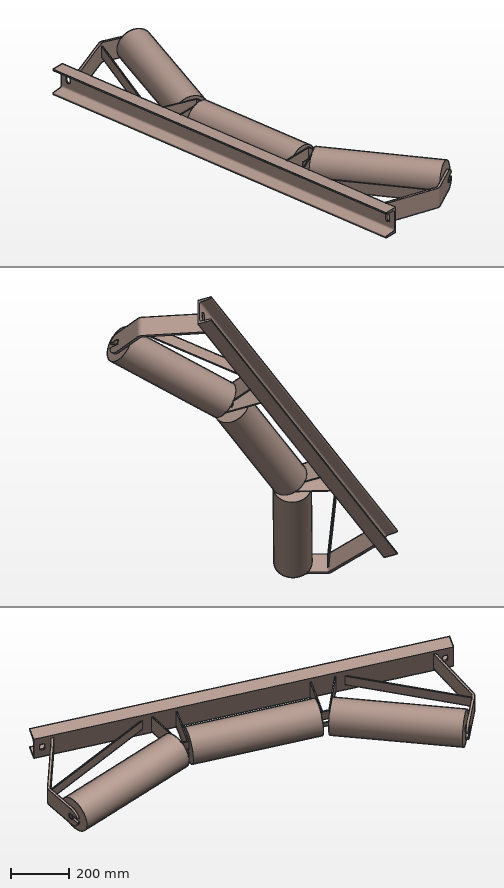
import cadquery as cq
import math

SIDES = (-1, 1)

channel_length = 1500.0
channel_height = 100.0
flange_width = 50.0
web_thickness = 6.0
flange_thickness = 8.5
flange_slope = 0.08
root_radius = 8.0
toe_radius = 3.0
bolt_slot_width = 18.0
bolt_slot_height = 32.0
bolt_slot_inset = 30.0

roller_diameter = 133.0
roller_length = 465.0
trough_angle = 25.0
tip_angle = 5.5
middle_axis_y = 166.0
middle_axis_z = -21.0
wing_offset_x = 488.0
wing_offset_y = 108.0
shaft_diameter = 21.0
shaft_flats = 18.0
inner_overhang = 10.0
outer_overhang = 17.0

bar_width = 78.0
outer_thickness = 9.0
outer_bend_x = 759.0
outer_foot_x = 683.0
outer_bend_y = 265.0
outer_upper_leg = 157.0
outer_bend_radius = 23.0
tip_round = 38.0
outer_drop = 3.0

inner_thickness = 5.0
inner_upright_x = 240.0
inner_slant_foot_x = 326.0
inner_slant_top_x = 265.0
inner_top_y = 190.0
inner_drop = 8.0

strut_width = 44.0
strut_thickness = 5.0
strut_foot_x = 365.0
strut_top_x = 755.0
strut_top_y = 265.0

foot_extra = 15.0
slot_reach = 122.0


def make_channel():
    half = channel_height / 2
    run = flange_width - web_thickness
    root_thickness = flange_thickness + flange_slope * run / 2
    toe_thickness = flange_thickness - flange_slope * run / 2
    web_inner_y = flange_width - web_thickness
    profile = [
        (0, half), (flange_width, half), (flange_width, -half), (0, -half),
        (0, -half + toe_thickness), (web_inner_y, -half + root_thickness),
        (web_inner_y, half - root_thickness), (0, half - toe_thickness),
    ]
    channel = (
        cq.Workplane("YZ").workplane(offset=-channel_length / 2)
        .polyline(profile).close().extrude(channel_length)
    )
    for z in (half - root_thickness, -half + root_thickness):
        root_edge = cq.selectors.NearestToPointSelector((0, web_inner_y, z))
        channel = channel.edges(root_edge).fillet(root_radius)
    for z in (half - toe_thickness, -half + toe_thickness):
        toe_edge = cq.selectors.NearestToPointSelector((0, 0, z))
        channel = channel.edges(toe_edge).fillet(toe_radius)
    slot_x = channel_length / 2 - bolt_slot_inset
    slots = (
        cq.Workplane("XZ").pushPoints([(side * slot_x, 0) for side in SIDES])
        .slot2D(bolt_slot_height, bolt_slot_width, 90)
        .extrude(-flange_width)
    )
    return channel.cut(slots)


def roller_location(offset_x, offset_y, angle):
    """Place a roller built along X on the tipped plane."""
    tip = math.radians(tip_angle)
    tipped_plane = cq.Plane(
        origin=(0, middle_axis_y, middle_axis_z),
        xDir=(1, 0, 0),
        normal=(0, -math.sin(tip), math.cos(tip)),
    )
    in_plane = cq.Location(cq.Vector(offset_x, offset_y, 0), cq.Vector(0, 0, 1), angle)
    return cq.Location(tipped_plane) * in_plane


def wing_location(side):
    return roller_location(side * wing_offset_x, wing_offset_y, side * trough_angle)


def shaft_blank(length_left, length_right):
    """Round shaft along X with two flats facing +Z and -Z."""
    length = length_left + length_right
    flats = cq.Workplane().box(length, shaft_diameter, shaft_flats)
    round_bar = (
        cq.Workplane("YZ").workplane(offset=-length / 2)
        .circle(shaft_diameter / 2).extrude(length)
    )
    return round_bar.intersect(flats).translate(((length_right - length_left) / 2, 0, 0))


def make_roller(overhang_left, overhang_right, location):
    half = roller_length / 2
    left_end = cq.Plane(origin=(-half, 0, 0), xDir=(0, 0, 1), normal=(1, 0, 0))
    shell = cq.Workplane(left_end).circle(roller_diameter / 2).extrude(roller_length)
    shaft = shaft_blank(half + overhang_left, half + overhang_right)
    return cq.Workplane(shell.union(shaft).val().moved(location))


def shaft_slot(location):
    """Open slot that lets a shaft drop into the brackets at both of its ends."""
    half = roller_length / 2 + 2 * outer_overhang
    seat = shaft_blank(half, half)
    entry = cq.Workplane().box(2 * half, slot_reach, shaft_flats).translate((0, slot_reach / 2, 0))
    return cq.Workplane(seat.union(entry).val().moved(location))


def bent_strip(path, width, thickness):
    """Flat bar on edge: a mitred strip centred on the XY path, centred on Z = 0."""
    headings = [math.atan2(b[1] - a[1], b[0] - a[0]) for a, b in zip(path, path[1:])]
    left = []
    right = []
    for i, (x, y) in enumerate(path):
        before = headings[max(i - 1, 0)]
        after = headings[min(i, len(headings) - 1)]
        turn = math.remainder(after - before, 2 * math.pi)
        normal = before + turn / 2 + math.pi / 2
        reach = thickness / 2 / math.cos(turn / 2)
        dx = reach * math.cos(normal)
        dy = reach * math.sin(normal)
        left.append((x + dx, y + dy))
        right.append((x - dx, y - dy))
    outline = left + right[::-1]
    return cq.Workplane().polyline(outline).close().extrude(width).translate((0, 0, -width / 2))


def trim_to_web(strip):
    """Cut off everything below the outer face of the web."""
    below = (
        cq.Workplane().box(channel_length, flange_width, 2 * bar_width)
        .translate((0, flange_width / 2, 0))
    )
    return strip.cut(below)


def foot_point(foot, above):
    """Point on the line from above through foot, foot_extra below the web face."""
    stretch = foot_extra / (above[1] - foot[1])
    return foot[0] + (foot[0] - above[0]) * stretch, foot[1] - foot_extra


def make_outer_bracket(side):
    lean = math.radians(trough_angle)
    bend = (side * outer_bend_x, outer_bend_y)
    tip = (
        bend[0] - side * outer_upper_leg * math.sin(lean),
        bend[1] + outer_upper_leg * math.cos(lean),
    )
    foot = foot_point((side * outer_foot_x, flange_width), bend)
    strip = bent_strip([foot, bend, tip], bar_width, outer_thickness)
    for offset, radius in (
        (outer_thickness, outer_bend_radius),
        (-outer_thickness, outer_bend_radius - outer_thickness),
    ):
        bend_edge = cq.selectors.NearestToPointSelector((bend[0] + side * offset, bend[1], 0))
        strip = strip.edges(bend_edge).fillet(radius)
    for z in (-bar_width / 2, bar_width / 2):
        tip_corner = cq.selectors.NearestToPointSelector((tip[0], tip[1], z))
        strip = strip.edges(tip_corner).fillet(tip_round)
    strip = trim_to_web(strip).translate((0, 0, -outer_drop))
    return strip.cut(shaft_slot(wing_location(side)))


def make_inner_bracket(side):
    slant_top = (side * inner_slant_top_x, inner_top_y)
    slant_foot = foot_point((side * inner_slant_foot_x, flange_width), slant_top)
    upright_top = (side * inner_upright_x, inner_top_y)
    upright_foot = (side * inner_upright_x, flange_width - foot_extra)
    path = [slant_foot, slant_top, upright_top, upright_foot]
    strip = bent_strip(path, bar_width, inner_thickness)
    strip = trim_to_web(strip).translate((0, 0, -inner_drop))
    return strip.cut(shaft_slot(wing_location(side))).cut(shaft_slot(roller_location(0, 0, 0)))


def make_strut(side, bracket):
    top = (side * strut_top_x, strut_top_y)
    foot = foot_point((side * strut_foot_x, flange_width), top)
    strip = trim_to_web(bent_strip([foot, top], strut_width, strut_thickness))
    return strip.cut(bracket)


channel = make_channel()
middle_roller = make_roller(inner_overhang, inner_overhang, roller_location(0, 0, 0))

wing_rollers = []
outer_brackets = []
inner_brackets = []
struts = []
for side in SIDES:
    overhangs = (inner_overhang, outer_overhang)[::side]
    wing_rollers.append(make_roller(*overhangs, wing_location(side)))
    outer_bracket = make_outer_bracket(side)
    outer_brackets.append(outer_bracket)
    inner_brackets.append(make_inner_bracket(side))
    struts.append(make_strut(side, outer_bracket))

bodies = [channel, middle_roller, *wing_rollers, *outer_brackets, *inner_brackets, *struts]
result = cq.Compound.makeCompound([body.solids().val() for body in bodies])